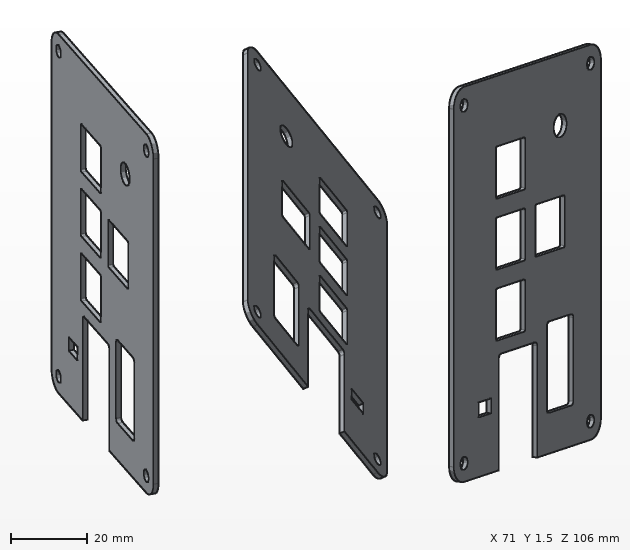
import cadquery as cq

plate_width = 71.0
plate_height = 106.0
plate_thickness = 1.5
corner_radius = 5.0

mount_hole_diameter = 3.4
mount_hole_inset = corner_radius

key_size = 14.0
key_pitch = 19.05
key_corner_radius = 0.5
key_origin_x = -8.1
key_origin_z = 8.0
key_cells = [(0, 1), (0, 0), (0, -1), (1, 0)]

right_column_x = 15.8
round_hole_diameter = 6.2
round_hole_z = 34.0
window_width = 12.6
window_height = 24.5
window_corner_radius = 1.0
window_z = -29.8

port_width = 6.0
port_height = 4.0
port_x = -20.4
port_z = -35.0

notch_width = 18.4
notch_depth = 31.1
notch_corner_radius = 1.0
notch_x = -4.5


def block(width, height, x, z):
    """Rectangular block as thick as the plate, centred at (x, z)."""
    return cq.Workplane("XY").box(width, plate_thickness, height).translate((x, 0, z))


def rounded_block(width, height, x, z, radius):
    """Block with all four corners rounded as seen along Y."""
    return block(width, height, x, z).edges("|Y").fillet(radius)


def pin(diameter, x, z):
    """Cylinder along Y as long as the plate is thick, centred at (x, z)."""
    cylinder = cq.Workplane("XZ").circle(diameter / 2).extrude(plate_thickness / 2, both=True)
    return cylinder.translate((x, 0, z))


def cut_mount_holes(body):
    hole_x = plate_width / 2 - mount_hole_inset
    hole_z = plate_height / 2 - mount_hole_inset
    for side_x in (-1, 1):
        for side_z in (-1, 1):
            body = body.cut(pin(mount_hole_diameter, side_x * hole_x, side_z * hole_z))
    return body


def cut_keys(body):
    for column, row in key_cells:
        x = key_origin_x + column * key_pitch
        z = key_origin_z + row * key_pitch
        body = body.cut(rounded_block(key_size, key_size, x, z, key_corner_radius))
    return body


def cut_right_column(body):
    body = body.cut(pin(round_hole_diameter, right_column_x, round_hole_z))
    window = rounded_block(window_width, window_height, right_column_x, window_z, window_corner_radius)
    return body.cut(window)


def cut_port(body):
    return body.cut(block(port_width, port_height, port_x, port_z))


def cut_notch(body):
    """Only the two inner corners of the notch are rounded."""
    notch_z = (notch_depth - plate_height) / 2
    notch = block(notch_width, notch_depth, notch_x, notch_z)
    notch = notch.faces(">Z").edges("|Y").fillet(notch_corner_radius)
    return body.cut(notch)


plate = rounded_block(plate_width, plate_height, 0, 0, corner_radius)
plate = cut_mount_holes(plate)
plate = cut_keys(plate)
plate = cut_right_column(plate)
plate = cut_port(plate)
plate = cut_notch(plate)

result = plate